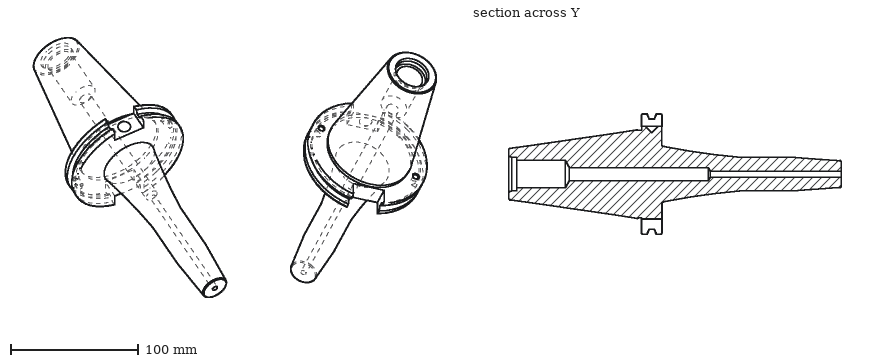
import cadquery as cq
import math

LENGTH = 261.5

TAPER_LENGTH = 101.0
TAPER_LARGE_RADIUS = 35.0
TAPER_RATE = 7 / 24 / 2
TAPER_SMALL_RADIUS = TAPER_LARGE_RADIUS - TAPER_LENGTH * TAPER_RATE
SHANK_CHAMFER = 0.8
RELIEF_START = 102.5
RELIEF_RADIUS = 69.3 / 2

FLANGE_START = 104.5
FLANGE_END = 120.5
FLANGE_RADIUS = 49.05
FLANGE_ROUND = 1.3
GROOVE_CENTER = (FLANGE_START + FLANGE_END) / 2
GROOVE_FLOOR_RADIUS = 45.3
GROOVE_FLOOR_WIDTH = 4.0
GROOVE_MOUTH_WIDTH = 7.0

SLOT_WIDTH = 25.6
UPPER_SLOT_HEIGHT = 37.7
LOWER_SLOT_HEIGHT = 35.3
DIMPLE_RADIUS = 10.0 / 2
DIMPLE_DEPTH = 5.0

NECK_ROOT_RADIUS = 22.5
NECK_START = 123.2
NECK_START_RADIUS = 21.7
NECK_END = 181.5
NECK_SAG = 0.8
BARREL_RADIUS = 27.0 / 2
BARREL_END = 223.1
TIP_RADIUS = 21.5 / 2
TIP_CHAMFER = 0.8

MOUTH_RADIUS = 27.7 / 2
MOUTH_TAPER_DEPTH = 2.4
COUNTERBORE_RADIUS = 26.2 / 2
COUNTERBORE_DEPTH = 6.3
BORE_RADIUS = 21.5 / 2
BORE_DEPTH = 44.5
DUCT_RADIUS = 10.0 / 2
DUCT_DEPTH = 157.0
THROUGH_RADIUS = 4.2 / 2
DRILL_POINT_RATE = math.tan(math.radians(30))

PORT_CIRCLE_RADIUS = 41.5
PORT_ANGLE = 19.5
PORT_RADIUS = 4.2 / 2
PORT_SINK_RADIUS = 5.5 / 2
PORT_SINK_DEPTH = PORT_SINK_RADIUS - PORT_RADIUS


def revolve_about_x(profile):
    """Revolve a closed (x, radius) outline about the part axis."""
    return profile.close().revolve(360, (0, 0, 0), (1, 0, 0))


def make_body():
    floor_half = GROOVE_FLOOR_WIDTH / 2
    mouth_half = GROOVE_MOUTH_WIDTH / 2
    rim_radius = FLANGE_RADIUS - FLANGE_ROUND
    round_inset = FLANGE_ROUND * (1 - math.sqrt(0.5))
    round_top = FLANGE_RADIUS - round_inset
    neck_middle = (
        (NECK_START + NECK_END) / 2,
        (NECK_START_RADIUS + BARREL_RADIUS) / 2 - NECK_SAG,
    )
    profile = (
        cq.Workplane("XY")
        .moveTo(0, 0)
        .lineTo(0, TAPER_SMALL_RADIUS - SHANK_CHAMFER)
        .lineTo(SHANK_CHAMFER, TAPER_SMALL_RADIUS + SHANK_CHAMFER * TAPER_RATE)
        .lineTo(TAPER_LENGTH, TAPER_LARGE_RADIUS)
        .lineTo(RELIEF_START, RELIEF_RADIUS)
        .lineTo(FLANGE_START, RELIEF_RADIUS)
        .lineTo(FLANGE_START, rim_radius)
        .threePointArc(
            (FLANGE_START + round_inset, round_top), (FLANGE_START + FLANGE_ROUND, FLANGE_RADIUS)
        )
        .lineTo(GROOVE_CENTER - mouth_half, FLANGE_RADIUS)
        .lineTo(GROOVE_CENTER - floor_half, GROOVE_FLOOR_RADIUS)
        .lineTo(GROOVE_CENTER + floor_half, GROOVE_FLOOR_RADIUS)
        .lineTo(GROOVE_CENTER + mouth_half, FLANGE_RADIUS)
        .lineTo(FLANGE_END - FLANGE_ROUND, FLANGE_RADIUS)
        .threePointArc((FLANGE_END - round_inset, round_top), (FLANGE_END, rim_radius))
        .lineTo(FLANGE_END, NECK_ROOT_RADIUS)
        .lineTo(NECK_START, NECK_START_RADIUS)
        .threePointArc(neck_middle, (NECK_END, BARREL_RADIUS))
        .lineTo(BARREL_END, BARREL_RADIUS)
        .lineTo(LENGTH - TIP_CHAMFER, TIP_RADIUS)
        .lineTo(LENGTH, TIP_RADIUS - TIP_CHAMFER)
        .lineTo(LENGTH, 0)
    )
    return revolve_about_x(profile)


def make_bore():
    bore_cone_length = (BORE_RADIUS - DUCT_RADIUS) * DRILL_POINT_RATE
    duct_cone_length = (DUCT_RADIUS - THROUGH_RADIUS) * DRILL_POINT_RATE
    profile = (
        cq.Workplane("XY")
        .moveTo(0, 0)
        .lineTo(0, MOUTH_RADIUS)
        .lineTo(MOUTH_TAPER_DEPTH, COUNTERBORE_RADIUS)
        .lineTo(COUNTERBORE_DEPTH, COUNTERBORE_RADIUS)
        .lineTo(COUNTERBORE_DEPTH, BORE_RADIUS)
        .lineTo(BORE_DEPTH, BORE_RADIUS)
        .lineTo(BORE_DEPTH + bore_cone_length, DUCT_RADIUS)
        .lineTo(DUCT_DEPTH, DUCT_RADIUS)
        .lineTo(DUCT_DEPTH + duct_cone_length, THROUGH_RADIUS)
        .lineTo(LENGTH, THROUGH_RADIUS)
        .lineTo(LENGTH, 0)
    )
    return revolve_about_x(profile)


def make_slot(height, side):
    """Drive slot with its floor at the given height; side is +1 (top) or -1 (bottom)."""
    depth = FLANGE_RADIUS - height
    return cq.Workplane("XY").box(FLANGE_END - FLANGE_START, SLOT_WIDTH, depth).translate(
        (GROOVE_CENTER, 0, side * (height + depth / 2))
    )


def make_dimple():
    cone = cq.Solid.makeCone(
        DIMPLE_RADIUS, 0, DIMPLE_DEPTH, cq.Vector(GROOVE_CENTER, 0, UPPER_SLOT_HEIGHT), cq.Vector(0, 0, -1)
    )
    return cq.Workplane(cone)


def make_port(angle):
    """Countersunk hole from the flange face, meeting a radial hole from the groove floor."""
    along = cq.Vector(1, 0, 0)
    outward = cq.Vector(0, math.cos(math.radians(angle)), math.sin(math.radians(angle)))
    mouth = outward * PORT_CIRCLE_RADIUS + along * FLANGE_START
    corner = outward * PORT_CIRCLE_RADIUS + along * GROOVE_CENTER
    radial_length = FLANGE_RADIUS - PORT_CIRCLE_RADIUS
    axial = cq.Solid.makeCylinder(PORT_RADIUS, GROOVE_CENTER - FLANGE_START, mouth, along)
    sink = cq.Solid.makeCone(PORT_SINK_RADIUS, PORT_RADIUS, PORT_SINK_DEPTH, mouth, along)
    radial = cq.Solid.makeCylinder(PORT_RADIUS, radial_length, corner, outward)
    return cq.Workplane(axial).union(cq.Workplane(sink)).union(cq.Workplane(radial))


result = make_body().cut(make_bore())
result = result.cut(make_slot(UPPER_SLOT_HEIGHT, 1)).cut(make_slot(LOWER_SLOT_HEIGHT, -1))
result = result.cut(make_dimple())
for port_angle in (PORT_ANGLE, PORT_ANGLE + 180):
    result = result.cut(make_port(port_angle))